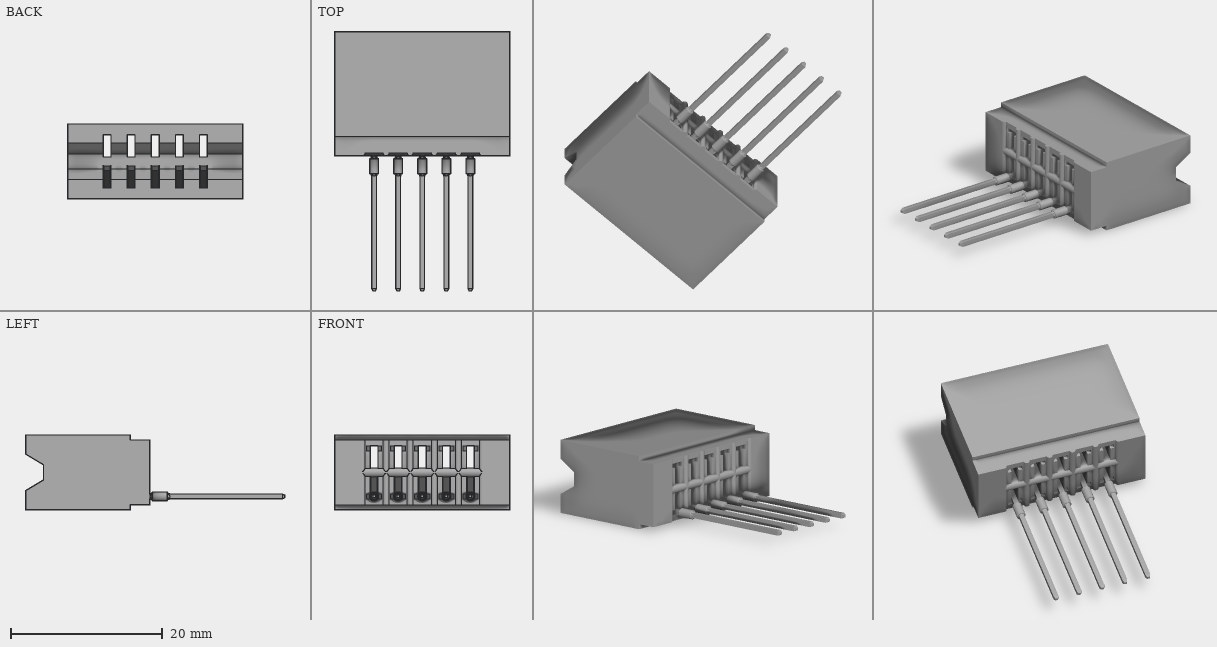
import cadquery as cq
import math

OVERALL_LENGTH = 34.2
HOUSING_WIDTH = 23.12
HOUSING_HEIGHT = 9.92
HOUSING_DEPTH = 16.38
FRONT_Y = -HOUSING_DEPTH

STEP_Y = -13.8
STEP_HEIGHT = 0.7
NOSE_HALF_HEIGHT = HOUSING_HEIGHT / 2 - STEP_HEIGHT

ENTRY_DEPTH = 2.35
ENTRY_MOUTH_HALF = 2.4
ENTRY_FLOOR_HALF = 1.0

PIN_COUNT = 5
CONTACT_FIELD_WIDTH = 15.87
PITCH = CONTACT_FIELD_WIDTH / PIN_COUNT
ROW_Z = PITCH
CONTACT_XS = [(i - (PIN_COUNT - 1) / 2) * PITCH for i in range(PIN_COUNT)]

RECESS_DEPTH = 0.38
RIB_WIDTH = 0.8
BAR_RADIUS = 0.58

SHANK_SIZE = 0.65
COLLAR_SIZE = 1.2
COLLAR_CORNER_RADIUS = 0.58
COLLAR_LENGTH = 2.05
COLLAR_CHAMFER = 0.07
NECK_LENGTH = 0.3
NECK_BASE_DIAMETER = 0.9
TIP_LENGTH = 0.35
TIP_END_SIZE = 0.35
SHANK_REAR_Y = -10.25

ARM_WIDTH = 0.9
ARM_ANGLE = 34.0
ARM_TOP_Z = -BAR_RADIUS

SLOT_WIDTH = 1.0
SLOT_OUTER_Z = ROW_Z + SHANK_SIZE / 2
POCKET_WIDTH = 2.0
POCKET_HEIGHT = SHANK_SIZE
POCKET_DEPTH = 0.5


def box(width, y_front, y_rear, z_low, z_high, x=0.0):
    """Block centred on x, spanning the given y and z limits."""
    return cq.Workplane("XY").box(
        width, y_rear - y_front, z_high - z_low, centered=(True, False, False)
    ).translate((x, y_front, z_low))


def housing_blank():
    """Stepped block with the card-entry groove, extruded along X."""
    top = HOUSING_HEIGHT / 2
    outline = [
        (FRONT_Y, -NOSE_HALF_HEIGHT),
        (STEP_Y, -NOSE_HALF_HEIGHT),
        (STEP_Y, -top),
        (0, -top),
        (0, -ENTRY_MOUTH_HALF),
        (-ENTRY_DEPTH, -ENTRY_FLOOR_HALF),
        (-ENTRY_DEPTH, ENTRY_FLOOR_HALF),
        (0, ENTRY_MOUTH_HALF),
        (0, top),
        (STEP_Y, top),
        (STEP_Y, NOSE_HALF_HEIGHT),
        (FRONT_Y, NOSE_HALF_HEIGHT),
    ]
    return cq.Workplane("YZ").polyline(outline).close().extrude(HOUSING_WIDTH / 2, both=True)


def rib(x):
    """Vertical round-nosed rib standing on the recess floor."""
    half_width = RIB_WIDTH / 2
    return (
        cq.Workplane("XY")
        .center(x, FRONT_Y + RECESS_DEPTH)
        .moveTo(-half_width, 0)
        .threePointArc((0, -RECESS_DEPTH), (half_width, 0))
        .close()
        .extrude(NOSE_HALF_HEIGHT, both=True)
    )


def cross_bar():
    """Horizontal web between the two slot rows, with a half-round nose at the front face."""
    nose_center_y = FRONT_Y + BAR_RADIUS
    return (
        cq.Workplane("YZ")
        .moveTo(nose_center_y, -BAR_RADIUS)
        .threePointArc((FRONT_Y, 0), (nose_center_y, BAR_RADIUS))
        .lineTo(0, BAR_RADIUS)
        .lineTo(0, -BAR_RADIUS)
        .close()
        .extrude(CONTACT_FIELD_WIDTH / 2, both=True)
    )


def recess_cutter():
    """Volume removed from the front face, leaving the ribs and cross bar."""
    cutter = box(
        CONTACT_FIELD_WIDTH, FRONT_Y, FRONT_Y + RECESS_DEPTH, -NOSE_HALF_HEIGHT, NOSE_HALF_HEIGHT
    )
    for i in range(PIN_COUNT + 1):
        cutter = cutter.cut(rib(i * PITCH - CONTACT_FIELD_WIDTH / 2))
    return cutter.cut(cross_bar())


def contact_slots(x):
    """Upper and lower through slots of one contact, with their side pockets."""
    floor_y = FRONT_Y + RECESS_DEPTH
    slots = box(SLOT_WIDTH, floor_y, 0, -SLOT_OUTER_Z, SLOT_OUTER_Z, x).cut(cross_bar())
    pocket = box(
        POCKET_WIDTH, floor_y, floor_y + POCKET_DEPTH, SLOT_OUTER_Z - POCKET_HEIGHT, SLOT_OUTER_Z, x
    )
    return slots.union(pocket).union(pocket.mirror("XY"))


def make_housing():
    housing = housing_blank().cut(recess_cutter())
    for x in CONTACT_XS:
        housing = housing.cut(contact_slots(x))
    return housing


def pin_shank():
    """Square shank along Y, tapering at its free end."""
    half = SHANK_SIZE / 2
    tip_base_y = TIP_LENGTH - OVERALL_LENGTH
    tip = (
        cq.Workplane("XZ", origin=(0, tip_base_y, 0))
        .rect(SHANK_SIZE, SHANK_SIZE)
        .workplane(offset=TIP_LENGTH)
        .rect(TIP_END_SIZE, TIP_END_SIZE)
        .loft()
    )
    return box(SHANK_SIZE, tip_base_y, SHANK_REAR_Y, -half, half).union(tip)


def neck(base_y, end_y):
    """Cone that narrows from the collar end at base_y to the shank at end_y."""
    return (
        cq.Workplane("XY")
        .moveTo(0, base_y)
        .lineTo(NECK_BASE_DIAMETER / 2, base_y)
        .lineTo(SHANK_SIZE / 2, end_y)
        .lineTo(0, end_y)
        .close()
        .revolve(360, (0, 0, 0), (0, 1, 0))
    )


def pin_collar():
    """Rounded collar just outside the housing, with a conical neck at each end."""
    rear_y = FRONT_Y - NECK_LENGTH
    front_y = rear_y - COLLAR_LENGTH
    collar = (
        cq.Workplane("XZ", origin=(0, rear_y, 0))
        .rect(COLLAR_SIZE, COLLAR_SIZE)
        .extrude(COLLAR_LENGTH)
        .edges("|Y")
        .fillet(COLLAR_CORNER_RADIUS)
        .faces("<Y or >Y")
        .chamfer(COLLAR_CHAMFER)
    )
    return collar.union(neck(rear_y, FRONT_Y)).union(neck(front_y, front_y - NECK_LENGTH))


def contact_arm():
    """Sloping arm that rises towards the rear from the inner end of the shank."""
    half = SHANK_SIZE / 2
    rise = ARM_TOP_Z + ROW_Z - half
    end_y = SHANK_REAR_Y + rise / math.tan(math.radians(ARM_ANGLE))
    outline = [
        (SHANK_REAR_Y, -half),
        (end_y, rise - half),
        (end_y, rise + half),
        (SHANK_REAR_Y, half),
    ]
    return cq.Workplane("YZ").polyline(outline).close().extrude(ARM_WIDTH / 2, both=True)


def make_pin(x):
    """Complete pin of the lower contact row at position x."""
    pin = pin_shank().union(pin_collar()).union(contact_arm())
    return pin.translate((x, 0, -ROW_Z))


housing = make_housing()
pins = [make_pin(x) for x in CONTACT_XS]

result = cq.Compound.makeCompound([housing.val(), *[pin.val() for pin in pins]])